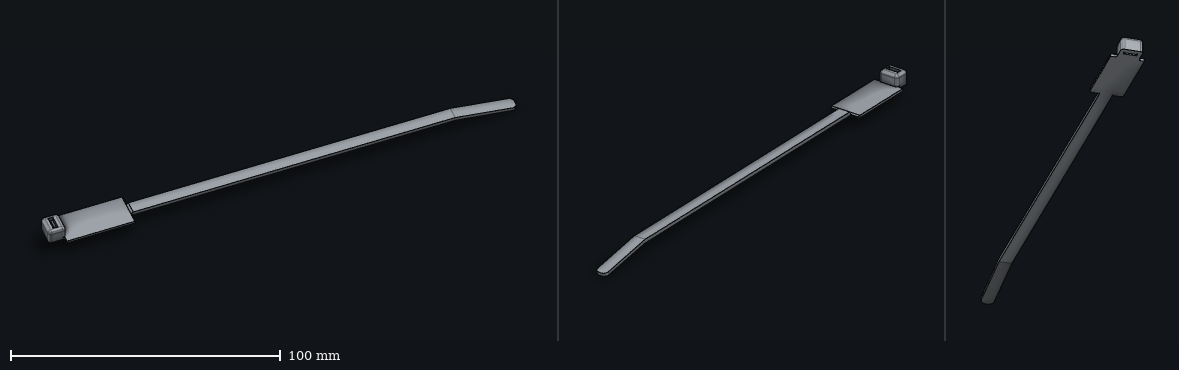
import cadquery as cq
import math

total_length = 187.5
total_height = 10.0

head_width = 8.6
head_length = 7.0
head_height = 5.8
head_round = 1.3

slot_width = 5.0
slot_front = 2.5
slot_gap = 1.0
slot_mouth_length = 1.9
ledge_height = 4.1

plate_width = 13.1
plate_start = 6.4
plate_end = 34.0
plate_thickness = 1.1
plate_corner = 0.5
plate_end_bevel = 0.5
neck_fillet = 0.8

strap_width = 5.0
strap_thickness = 1.7
ramp_length = 0.4
bend_y = 162.6
tail_thickness = 1.5
tip_round = 2.0

tail_drop = total_height - head_height


def extrude_side_profile(points, width):
    """Extrude a (Y, Z) outline symmetrically about the X = 0 plane."""
    return cq.Workplane("YZ").polyline(points).close().extrude(width / 2, both=True)


def make_head():
    block = cq.Workplane("XY").box(head_width, head_length, head_height, centered=(True, False, False))
    return block.edges("|Z").fillet(head_round).faces(">Z").edges().fillet(head_round)


def make_slot():
    slot_rear = slot_front + slot_gap
    profile = [
        (slot_front, 0),
        (slot_rear, 0),
        (slot_rear, ledge_height),
        (slot_front + slot_mouth_length, ledge_height),
        (slot_front + slot_mouth_length, head_height),
        (slot_front, head_height),
    ]
    return extrude_side_profile(profile, slot_width)


def make_plate():
    length = plate_end - plate_start
    plate = (
        cq.Workplane("XY")
        .box(plate_width, length, plate_thickness, centered=(True, False, False))
        .translate((0, plate_start, 0))
    )
    plate = plate.edges("|Z and >Y").chamfer(plate_corner)
    return plate.faces(">Y").edges(">Z").chamfer(plate_end_bevel)


def make_neck_fillets():
    """Concave fillets between the sides of the head and the plate's front edge."""
    fillets = cq.Workplane("XY")
    for side in (-1, 1):
        inner_x = side * head_width / 2
        outer_x = side * (head_width / 2 + neck_fillet)
        arc_mid_x = outer_x - side * neck_fillet * math.sqrt(0.5)
        arc_mid_y = plate_start - neck_fillet * (1 - math.sqrt(0.5))
        fillet = (
            cq.Workplane("XY")
            .moveTo(inner_x, plate_start - neck_fillet)
            .threePointArc((arc_mid_x, arc_mid_y), (outer_x, plate_start))
            .lineTo(0, plate_start)
            .lineTo(0, plate_start - neck_fillet)
            .close()
            .extrude(plate_thickness)
        )
        fillets = fillets.add(fillet)
    return fillets.combine()


def make_strap():
    """Flat strap with a ramp up from the plate and a tail bent downward."""
    tail_angle = math.atan2(tail_drop, total_length - bend_y)
    tip_top_y = total_length
    tip_bottom_y = total_length - tail_thickness * math.sin(tail_angle)
    tip_top_z = -tail_drop + tail_thickness * math.cos(tail_angle)
    profile = [
        (plate_end - plate_end_bevel, 0),
        (bend_y, 0),
        (tip_bottom_y, -tail_drop),
        (tip_top_y, tip_top_z),
        (bend_y, strap_thickness),
        (plate_end + ramp_length, strap_thickness),
        (plate_end - plate_end_bevel, plate_thickness),
    ]
    strap = extrude_side_profile(profile, strap_width)
    return strap.faces(">Y").edges("not |X").fillet(tip_round)


result = make_head().union(make_plate()).union(make_neck_fillets()).union(make_strap())
result = result.cut(make_slot())